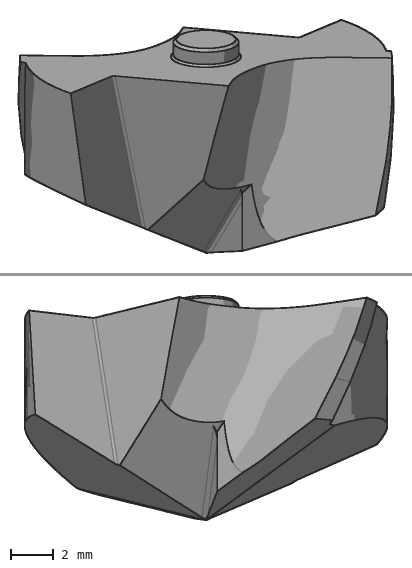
import cadquery as cq
import math

TIP_DEPTH = 9.61
BLANK_DEPTH = 10.56
REACH = 17.6
TWIST_PER_UNIT = 3.75

MARGIN_RADIUS = 8.8
GRIND_STOCK = 0.18
TOP_RADIUS = 8.68
BARREL_DEPTH = 4.4
BARREL_SHARE = 0.75
BODY_RADIUS = 8.47

LIP_ANGLE = 14.6
MARGIN_END_ANGLE = 20.5
MARGIN_STEP_ANGLE = 2
FLUTE_POINTS = [(6.28, 1.69), (4.4, 0.95), (3.1, -0.25), (2.5, -1.51), (2.24, -2.64), (2.25, -4.0)]
FLUTE_END = (2.46, -5.28)
TAIL_ANGLE = -70

NOTCH_Y = 4.03
NOTCH_X = 3.36
NOTCH_WALL_SLOPE = 6.5 / 17.9
NOTCH_LEAN = 0.2
NOTCH_FILLET = 0.14

LIP_RISE = 0.36
PRIMARY_RISE = 0.04
SECONDARY_RISE = 0.4

GASH_CORNER = (2.18, -1.46)
GASH_END_X = 4.22
GASH_RISE_Y = 0.96
GASH_OVERRUN = 2
GASH_FILLET = 0.25

BOSS_RADIUS = 1.53
BOSS_HEIGHT = 0.85
BOSS_CHAMFER = 0.14
BOSS_FOOT = 0.1


def polar(radius, degrees):
    angle = math.radians(degrees)
    return radius * math.cos(angle), radius * math.sin(angle)


def opposite(point):
    return -point[0], -point[1]


def both_sides(solid):
    """The solid together with its copy turned half a turn about Z."""
    return [solid, solid.rotate((0, 0, 0), (0, 0, 1), 180)]


def fluted_blank():
    stock_radius = MARGIN_RADIUS + GRIND_STOCK
    lip = polar(stock_radius, LIP_ANGLE)
    margin_middle = polar(stock_radius, (LIP_ANGLE + MARGIN_END_ANGLE) / 2)
    margin_end = polar(stock_radius, MARGIN_END_ANGLE)
    body_start = polar(BODY_RADIUS, MARGIN_END_ANGLE + MARGIN_STEP_ANGLE)
    far_tail_angle = TAIL_ANGLE + 180
    body_middle = polar(BODY_RADIUS, (MARGIN_END_ANGLE + far_tail_angle) / 2)
    body_end = polar(BODY_RADIUS, far_tail_angle)
    flute = FLUTE_POINTS + [FLUTE_END]

    section = cq.Workplane("XY", origin=(0, 0, -BLANK_DEPTH)).moveTo(*lip)
    for turn in (tuple, opposite):
        section = (
            section.threePointArc(turn(margin_middle), turn(margin_end))
            .lineTo(*turn(body_start))
            .threePointArc(turn(body_middle), turn(body_end))
            .lineTo(*opposite(turn(FLUTE_END)))
            .spline([opposite(turn(p)) for p in reversed(flute[:-1])] + [opposite(turn(lip))],
                    includeCurrent=True)
        )
    twist = TWIST_PER_UNIT * BLANK_DEPTH
    blank = section.close().twistExtrude(BLANK_DEPTH, twist)
    return blank.rotate((0, 0, 0), (0, 0, 1), -twist)


def envelope():
    """Body of revolution whose wall bulges gently from the top edge."""
    mid_radius = TOP_RADIUS + BARREL_SHARE * (MARGIN_RADIUS - TOP_RADIUS)
    return (
        cq.Workplane("XZ")
        .lineTo(TOP_RADIUS, 0)
        .threePointArc((mid_radius, -BARREL_DEPTH / 2), (MARGIN_RADIUS, -BARREL_DEPTH))
        .lineTo(MARGIN_RADIUS, -BLANK_DEPTH)
        .lineTo(0, -BLANK_DEPTH)
        .close()
        .revolve(360, (0, 0, 0), (0, 1, 0))
    )


def notch():
    wall_run = NOTCH_WALL_SLOPE * (REACH - NOTCH_Y)

    def outline(plane, shift):
        return plane.polyline([
            (shift - NOTCH_X, -NOTCH_Y),
            (REACH, -NOTCH_Y),
            (REACH, -REACH),
            (shift - NOTCH_X - wall_run, -REACH),
        ]).close()

    cutter = outline(cq.Workplane("XY"), 0)
    cutter = outline(cutter.workplane(offset=-BLANK_DEPTH), NOTCH_LEAN * BLANK_DEPTH)
    cutter = cutter.loft(ruled=True)
    corner = cq.selectors.NearestToPointSelector(
        (NOTCH_LEAN * BLANK_DEPTH / 2 - NOTCH_X, -NOTCH_Y, -BLANK_DEPTH / 2)
    )
    return cutter.edges(corner).fillet(NOTCH_FILLET)


def below_plane(rise_x, rise_y):
    """Block under the plane through the tip that rises by the given slopes along X and Y."""
    plane = cq.Plane(origin=(0, 0, -TIP_DEPTH), xDir=(1, 0, rise_x), normal=(-rise_x, -rise_y, 1))
    return cq.Workplane(plane).rect(4 * REACH, 4 * REACH).extrude(-2 * REACH)


def gash():
    """Filleted wedge cut along the web, widened to a flat wall where it meets the lip."""
    corner_x, corner_y = GASH_CORNER
    floor_side = below_plane(1, -GASH_RISE_Y)
    columns = cq.Workplane("XY", origin=(0, 0, -REACH))
    wedge_column = columns.polyline([
        (-GASH_OVERRUN * corner_x, -GASH_OVERRUN * corner_y),
        (GASH_OVERRUN * corner_x, GASH_OVERRUN * corner_y),
        (GASH_OVERRUN * corner_x, -REACH),
        (-GASH_OVERRUN * corner_x, -REACH),
    ]).close().extrude(REACH)
    root = cq.selectors.NearestToPointSelector((0, 0, -TIP_DEPTH))
    wedge = wedge_column.intersect(floor_side).edges(root).fillet(GASH_FILLET)
    lip_column = columns.polyline([
        (corner_x, corner_y),
        (GASH_END_X, corner_y),
        (GASH_END_X, -REACH),
        (corner_x, -REACH),
    ]).close().extrude(REACH)
    return wedge.union(lip_column.intersect(floor_side))


def boss():
    return (
        cq.Workplane("XZ")
        .lineTo(BOSS_RADIUS + BOSS_FOOT, 0)
        .lineTo(BOSS_RADIUS, BOSS_FOOT)
        .lineTo(BOSS_RADIUS, BOSS_HEIGHT - BOSS_CHAMFER)
        .lineTo(BOSS_RADIUS - BOSS_CHAMFER, BOSS_HEIGHT)
        .lineTo(0, BOSS_HEIGHT)
        .close()
        .revolve(360, (0, 0, 0), (0, 1, 0))
    )


primary_facet = below_plane(-LIP_RISE, -PRIMARY_RISE)
secondary_facet = below_plane(-LIP_RISE, -SECONDARY_RISE)

result = fluted_blank().intersect(envelope())
for cutting_solid in (notch(), primary_facet, secondary_facet, gash()):
    for cutter in both_sides(cutting_solid):
        result = result.cut(cutter)
result = result.union(boss())